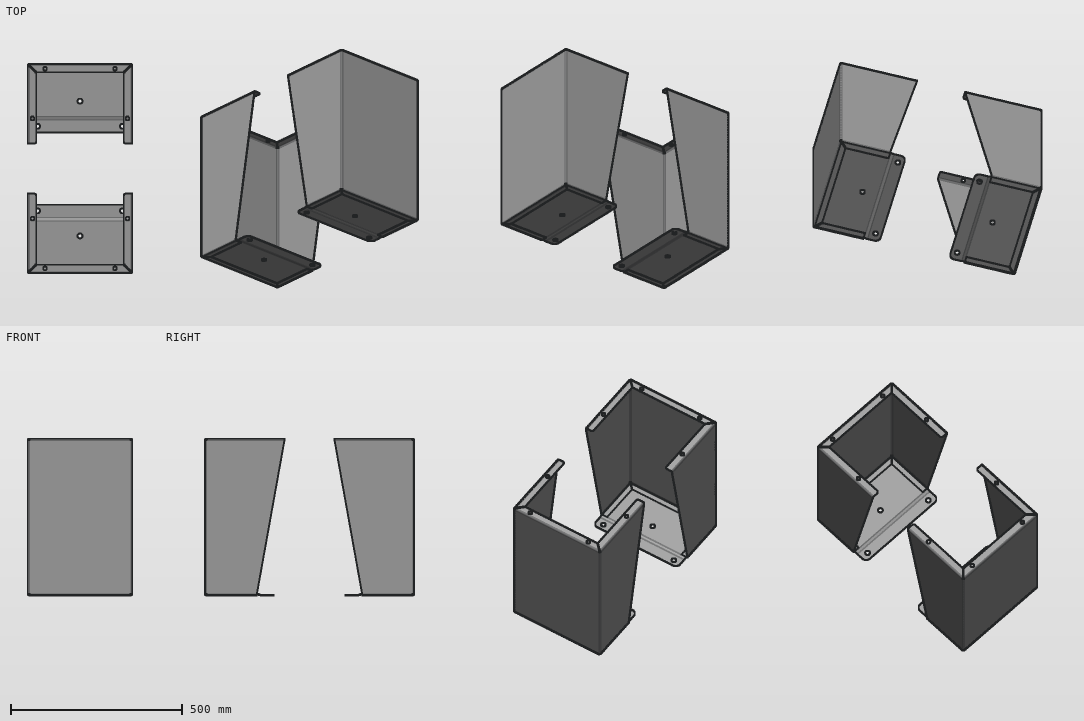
import cadquery as cq
import math

WIDTH = 305.0
PAIR_LENGTH = 609.5
HEIGHT = 457.0

SHEET = 2.7
BEND_RADIUS = 4.6
INNER_RADIUS = BEND_RADIUS - SHEET

DEPTH_TOP = 232.0
DEPTH_BOTTOM = 152.0
SHELL_LENGTH = PAIR_LENGTH / 2
TOP_FLANGE = 25.0
BOTTOM_FLANGE = 22.0
MITRE_GAP = 2.5
FLANGE_TIP_RADIUS = 6.0

FLANGE_HOLE_DIA = 11.0
FLANGE_HOLE_INSET = 14.0
BACK_HOLE_OFFSET = 102.0
SIDE_HOLE_DEPTH = 159.0

STEP_START = 153.0
STEP_END = 163.0
PLATE_END = 200.0
PLATE_HALF_WIDTH = WIDTH / 2 - BEND_RADIUS
PLATE_CORNER_RADIUS = 15.0
PLATE_HOLE_DIA = 14.0
CENTRE_HOLE_DEPTH = 108.5
TAB_HOLE_DEPTH = 181.5
TAB_HOLE_OFFSET = 124.0


def block(x_half, y_start, y_end, z_start, z_end):
    """Box centred on X, between the given Y and Z limits."""
    size = (2 * x_half, y_end - y_start, z_end - z_start)
    return cq.Workplane("XY").box(*size, centered=(True, False, False)).translate((0, y_start, z_start))


def drill(points, diameter, z_start, z_end):
    """Vertical drill cylinders at the given points."""
    return (
        cq.Workplane("XY", origin=(0, 0, z_start))
        .pushPoints(points)
        .circle(diameter / 2)
        .extrude(z_end - z_start)
    )


def bent_box(inset, radius):
    """Box inset from the envelope, with every edge rounded except those of its far +Y end."""
    box = block(WIDTH / 2 - inset, inset, SHELL_LENGTH, inset, HEIGHT - inset)
    return box.edges("not >Y").fillet(radius)


def rounded_shell():
    """Thin-walled box with bent edges, open at +Y and longer than the finished housing."""
    return bent_box(0, BEND_RADIUS).cut(bent_box(SHEET, INNER_RADIUS))


def side_profile():
    """Prism that keeps the tapered side outline and removes the open front."""
    return (
        cq.Workplane("YZ", origin=(-WIDTH / 2, 0, 0))
        .polyline([
            (0, 0),
            (DEPTH_BOTTOM, 0),
            (DEPTH_BOTTOM, BEND_RADIUS),
            (DEPTH_TOP, HEIGHT - BEND_RADIUS),
            (DEPTH_TOP, HEIGHT),
            (0, HEIGHT),
        ])
        .close()
        .extrude(WIDTH)
    )


def flange_opening(flange, z_start, z_end):
    """Opening that leaves a rim of the given flange width along the back and both sides."""
    return block(WIDTH / 2 - flange, flange, SHELL_LENGTH, z_start, z_end)


def corner_relief(side, flange, z_start, z_end):
    """Square notch at one back corner and the mitre slot between the two flanges meeting there."""
    notch = (
        cq.Workplane("XY")
        .box(BEND_RADIUS, BEND_RADIUS, z_end - z_start, centered=False)
        .translate((-WIDTH / 2, 0, z_start))
    )
    slot_length = 2 * math.hypot(flange, flange)
    slot = (
        cq.Workplane("XY")
        .box(slot_length, MITRE_GAP, z_end - z_start, centered=(True, True, False))
        .rotate((0, 0, 0), (0, 0, 1), 45)
        .translate((flange - WIDTH / 2, flange, z_start))
    )
    cutter = notch.union(slot)
    return cutter if side < 0 else cutter.mirror("YZ")


def make_housing():
    """Three-walled housing with its back wall on Y = 0 and its open front toward +Y."""
    body = rounded_shell().intersect(side_profile())
    top_bend = HEIGHT - BEND_RADIUS
    body = body.cut(flange_opening(TOP_FLANGE, top_bend, HEIGHT))
    body = body.cut(flange_opening(BOTTOM_FLANGE, 0, BEND_RADIUS))
    for side in (-1, 1):
        body = body.cut(corner_relief(side, TOP_FLANGE, top_bend, HEIGHT))
        body = body.cut(corner_relief(side, BOTTOM_FLANGE, 0, BEND_RADIUS))
    tip = WIDTH / 2 - TOP_FLANGE
    tips = cq.selectors.BoxSelector(
        (-tip - SHEET, DEPTH_TOP - SHEET, top_bend), (tip + SHEET, DEPTH_TOP + SHEET, HEIGHT)
    )
    body = body.edges("|Z").edges(tips).fillet(FLANGE_TIP_RADIUS)
    holes = []
    for side in (-1, 1):
        holes.append((side * BACK_HOLE_OFFSET, FLANGE_HOLE_INSET))
        holes.append((side * (WIDTH / 2 - FLANGE_HOLE_INSET), SIDE_HOLE_DEPTH))
    return body.cut(drill(holes, FLANGE_HOLE_DIA, top_bend, HEIGHT))


def make_base_plate():
    """Joggled plate lying on the bottom flanges, with a tab at floor level in front."""
    plate = (
        cq.Workplane("YZ", origin=(-PLATE_HALF_WIDTH, 0, 0))
        .polyline([
            (BEND_RADIUS, SHEET),
            (STEP_START, SHEET),
            (STEP_END, 0),
            (PLATE_END, 0),
            (PLATE_END, SHEET),
            (STEP_END, SHEET),
            (STEP_START, 2 * SHEET),
            (BEND_RADIUS, 2 * SHEET),
        ])
        .close()
        .extrude(2 * PLATE_HALF_WIDTH)
    )
    plate = plate.edges("|Z and >Y").fillet(PLATE_CORNER_RADIUS)
    holes = [(0, CENTRE_HOLE_DEPTH)]
    holes += [(side * TAB_HOLE_OFFSET, TAB_HOLE_DEPTH) for side in (-1, 1)]
    return plate.cut(drill(holes, PLATE_HOLE_DIA, 0, 2 * SHEET))


def place(body, angle):
    """Move a body to the -Y end of the pair, then turn it about the pair's centre."""
    return body.translate((0, -PAIR_LENGTH / 2, 0)).rotate((0, 0, 0), (0, 0, 1), angle)


bodies = []
for angle in (0, 180):
    housing = place(make_housing(), angle)
    base_plate = place(make_base_plate(), angle)
    bodies += [housing.solids().val(), base_plate.solids().val()]

result = cq.Compound.makeCompound(bodies)